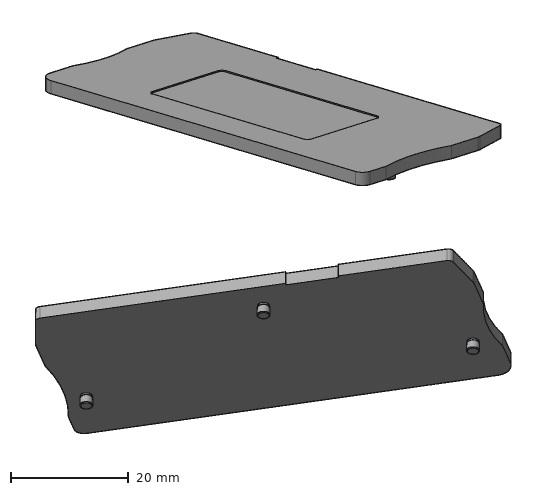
import cadquery as cq

LENGTH = 77.0
WIDTH = 36.2
TOTAL_HEIGHT = 4.4
PLATE_THICKNESS = 2.4
END_X = LENGTH / 2
SIDE_Y = WIDTH / 2

SHOULDER_INSET = 2.0
SHOULDER_START_Y = 10.3
SHOULDER_TOP_RADIUS = 1.0
SHOULDER_BASE_RADIUS = 2.0

LEFT_CORNER_RADIUS = 3.1
RIGHT_CORNER_RADIUS = 1.8

SCALLOP_TOP_Y = 3.6
LEFT_SCALLOP_BOTTOM_Y = -9.55
LEFT_SCALLOP_DEPTH = 1.0
RIGHT_SCALLOP_BOTTOM_Y = -12.4
RIGHT_SCALLOP_DEPTH = 1.1

NOTCH_START_X = -16.6
NOTCH_LENGTH = 9.25
NOTCH_DEPTH = 0.5

RECESS_LENGTH = 37.7
RECESS_WIDTH = 17.95
RECESS_CENTER_Y = -2.4
RECESS_RADIUS = 1.0
RECESS_DEPTH = 0.2

PIN_DIAMETER = 2.2
PIN_NECK_DIAMETER = 2.1
PIN_NECK_LENGTH = 0.4
PIN_CHAMFER = 0.15
PIN_LENGTH = TOTAL_HEIGHT - PLATE_THICKNESS
OUTER_PIN_X = 33.95
OUTER_PIN_Y = -7.0
MIDDLE_PIN_X = -2.1
MIDDLE_PIN_Y = 12.3
PIN_CENTERS = [
    (-OUTER_PIN_X, OUTER_PIN_Y),
    (MIDDLE_PIN_X, MIDDLE_PIN_Y),
    (OUTER_PIN_X, OUTER_PIN_Y),
]


def round_corners(body, corners, radius):
    """Round the vertical plate edges that stand at the given corners."""
    margin = 0.1
    selector = None
    for x, y in corners:
        box = cq.selectors.BoxSelector(
            (x - margin, y - margin, 0),
            (x + margin, y + margin, PLATE_THICKNESS),
        )
        selector = box if selector is None else selector + box
    return body.edges(selector).fillet(radius)


def make_plate():
    """Plate with its underside at Z = 0."""
    shoulder_x = END_X - SHOULDER_INSET
    left_middle_y = (SCALLOP_TOP_Y + LEFT_SCALLOP_BOTTOM_Y) / 2
    right_middle_y = (SCALLOP_TOP_Y + RIGHT_SCALLOP_BOTTOM_Y) / 2
    plate = (
        cq.Workplane("XY")
        .moveTo(-END_X, -SIDE_Y)
        .lineTo(END_X, -SIDE_Y)
        .lineTo(END_X, RIGHT_SCALLOP_BOTTOM_Y)
        .threePointArc((END_X - RIGHT_SCALLOP_DEPTH, right_middle_y), (END_X, SCALLOP_TOP_Y))
        .lineTo(END_X, SHOULDER_START_Y)
        .lineTo(shoulder_x, SIDE_Y)
        .lineTo(-shoulder_x, SIDE_Y)
        .lineTo(-END_X, SHOULDER_START_Y)
        .lineTo(-END_X, SCALLOP_TOP_Y)
        .threePointArc((-END_X + LEFT_SCALLOP_DEPTH, left_middle_y), (-END_X, LEFT_SCALLOP_BOTTOM_Y))
        .close()
        .extrude(PLATE_THICKNESS)
    )
    shoulder_tops = [(-shoulder_x, SIDE_Y), (shoulder_x, SIDE_Y)]
    shoulder_bases = [(-END_X, SHOULDER_START_Y), (END_X, SHOULDER_START_Y)]
    plate = round_corners(plate, shoulder_tops, SHOULDER_TOP_RADIUS)
    plate = round_corners(plate, shoulder_bases, SHOULDER_BASE_RADIUS)
    plate = round_corners(plate, [(-END_X, -SIDE_Y)], LEFT_CORNER_RADIUS)
    return round_corners(plate, [(END_X, -SIDE_Y)], RIGHT_CORNER_RADIUS)


def make_notch():
    """Cutter for the full-height notch in the +Y edge."""
    return (
        cq.Workplane("XY")
        .box(NOTCH_LENGTH, NOTCH_DEPTH, PLATE_THICKNESS, centered=False)
        .translate((NOTCH_START_X, SIDE_Y - NOTCH_DEPTH, 0))
    )


def make_recess():
    """Cutter for the round-cornered label recess."""
    return (
        cq.Workplane("XY", origin=(0, RECESS_CENTER_Y, PLATE_THICKNESS))
        .rect(RECESS_LENGTH, RECESS_WIDTH)
        .extrude(-RECESS_DEPTH)
        .edges("|Z")
        .fillet(RECESS_RADIUS)
    )


def make_pins():
    """Pins with a narrower neck at the plate and a chamfered tip."""
    necks = (
        cq.Workplane("XY")
        .pushPoints(PIN_CENTERS)
        .circle(PIN_NECK_DIAMETER / 2)
        .extrude(-PIN_NECK_LENGTH)
    )
    shanks = (
        cq.Workplane("XY", origin=(0, 0, -PIN_NECK_LENGTH))
        .pushPoints(PIN_CENTERS)
        .circle(PIN_DIAMETER / 2)
        .extrude(PIN_NECK_LENGTH - PIN_LENGTH)
        .faces("<Z")
        .chamfer(PIN_CHAMFER)
    )
    return necks.union(shanks)


result = make_plate().cut(make_notch()).cut(make_recess()).union(make_pins())